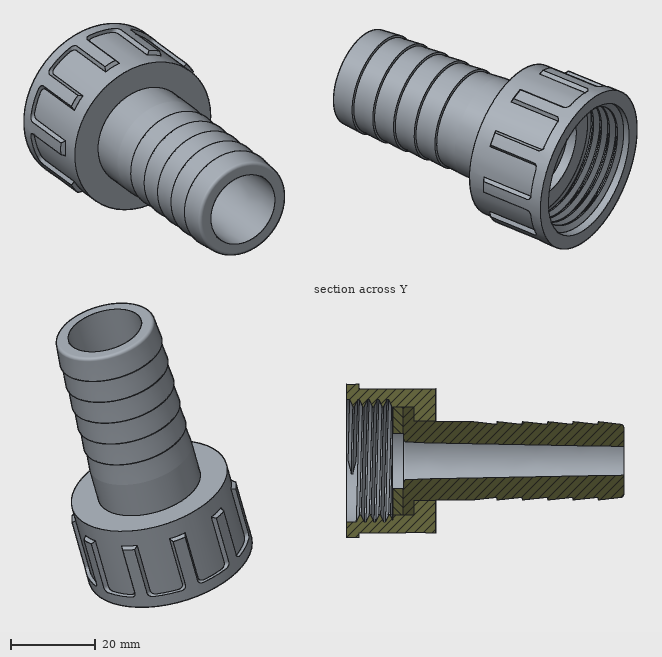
import cadquery as cq
import math


nut_length = 21.2
flange_radius = 20.0
flange_length = 2.9
core_radius = 19.0
minor_radius = 15.2
neck_radius = 12.5

rib_count = 10
rib_root_radius = 18.4
rib_root_width = 4.5
rib_root_end = 17.25
rib_crown_radius = 20.1
rib_crown_width = 2.95
rib_crown_end = 16.45
rib_foot_width = 7.9
rib_corner_fillet = 1.1

major_radius = 16.65
thread_pitch = 2.3
thread_turns = 4.2
ridge_start = 1.4
ridge_root_width = 1.9
ridge_crest_width = 0.4
ridge_embed = 0.2
fade_length = 3.15

washer_front = 11.0
washer_thickness = 2.5
washer_hole_radius = 10.5
tail_front = washer_front + washer_thickness
tail_flange_thickness = 2.5
shoulder_x = tail_front + tail_flange_thickness

tail_end = 65.8
step_count = 5
step_pitch = 6.0
neck_end = 29.95
first_step_x = 35.7
step_foot_radius = 12.05
step_length = 0.2
tip_round = 0.8
bore_front_radius = 9.4
bore_end_radius = 8.95
bore_entry_fillet = 0.6


def revolve_about_x(points):
    """Solid of revolution about the X axis from (x, radius) points."""
    return cq.Workplane("XZ").polyline(points).close().revolve(360, (0, 0, 0), (1, 0, 0))


def make_rib(angle):
    """One grip rib with drafted sides and far end, and a foot that lies inside the flange."""
    cross_section = [
        (-rib_root_width / 2, rib_root_radius),
        (-rib_crown_width / 2, rib_crown_radius),
        (rib_crown_width / 2, rib_crown_radius),
        (rib_root_width / 2, rib_root_radius),
    ]
    side_outline = [
        (0, rib_root_radius),
        (0, rib_crown_radius),
        (rib_crown_end, rib_crown_radius),
        (rib_root_end, rib_root_radius),
    ]
    bar = cq.Workplane("YZ").polyline(cross_section).close().extrude(rib_root_end)
    side_prism = cq.Workplane("XZ").polyline(side_outline).close().extrude(rib_root_width / 2, both=True)
    foot_height = rib_crown_radius - rib_root_radius
    foot = (
        cq.Workplane("XY", origin=(0, 0, rib_root_radius))
        .box(flange_length, rib_foot_width, foot_height, centered=(False, True, False))
    )
    concave_corners = cq.selectors.BoxSelector(
        (0, -rib_root_width / 2, rib_root_radius),
        (rib_crown_end / 2, rib_root_width / 2, rib_crown_radius),
    )
    rib = bar.intersect(side_prism).union(foot)
    rib = rib.edges(concave_corners).edges("#X").edges("not |Y").fillet(rib_corner_fillet)
    return rib.rotate((0, 0, 0), (1, 0, 0), angle)


def make_nut_outside():
    """Solid nut body: front flange, plain core and ribs blended into the flange."""
    envelope = cq.Workplane("YZ").circle(flange_radius).extrude(nut_length)
    flange = cq.Workplane("YZ").circle(flange_radius).extrude(flange_length)
    body = cq.Workplane("YZ").circle(core_radius).extrude(nut_length).union(flange)
    for index in range(rib_count):
        rib = make_rib(90 + index * 360 / rib_count)
        body = body.union(rib.intersect(envelope))
    return body


def make_nut_bore():
    """Stepped hole of the nut: threaded bore, washer pocket and neck hole."""
    return revolve_about_x([
        (0, 0),
        (0, major_radius),
        (washer_front, major_radius),
        (washer_front, minor_radius),
        (shoulder_x, minor_radius),
        (shoulder_x, neck_radius),
        (nut_length, neck_radius),
        (nut_length, 0),
    ])


def make_thread_ridge():
    """Right-hand ridge, swept along Z, turned onto the X axis and ended at the washer."""
    flank_slope = (ridge_root_width - ridge_crest_width) / 2 / (major_radius - minor_radius)
    half_root = ridge_root_width / 2 + flank_slope * ridge_embed
    half_crest = ridge_crest_width / 2
    embedded_radius = major_radius + ridge_embed
    ridge_section = [
        (minor_radius, -half_crest),
        (embedded_radius, -half_root),
        (embedded_radius, half_root),
        (minor_radius, half_crest),
    ]
    helix = cq.Wire.makeHelix(thread_pitch, thread_pitch * thread_turns, minor_radius)
    ridge = cq.Workplane("XZ").polyline(ridge_section).close().sweep(cq.Workplane(helix), isFrenet=True)
    wall_at_fade_end = math.sqrt(major_radius ** 2 - fade_length ** 2)
    fade_end_section = [
        (wall_at_fade_end, -half_crest),
        (embedded_radius, -half_crest),
        (embedded_radius, half_crest),
        (wall_at_fade_end, half_crest),
    ]
    fade = (
        cq.Workplane("XZ")
        .polyline(ridge_section)
        .close()
        .workplane(offset=fade_length)
        .polyline(fade_end_section)
        .close()
        .loft(ruled=True)
    )
    onto_x_axis = cq.Plane(origin=(ridge_start, 0, 0), xDir=(0, 1, 0), normal=(1, 0, 0))
    threaded_zone = cq.Workplane("YZ").circle(core_radius).extrude(washer_front)
    placed = cq.Workplane(ridge.union(fade).val().moved(onto_x_axis.location))
    return placed.intersect(threaded_zone)


def make_nut():
    return make_nut_outside().cut(make_nut_bore()).union(make_thread_ridge())


def make_washer():
    return (
        cq.Workplane("YZ", origin=(washer_front, 0, 0))
        .circle(minor_radius)
        .circle(washer_hole_radius)
        .extrude(washer_thickness)
    )


def make_tail_outside():
    """Flange, plain neck, and barbs that each taper to a step; the tip is rounded."""
    points = [
        (tail_front, 0),
        (tail_front, minor_radius),
        (shoulder_x, minor_radius),
        (shoulder_x, neck_radius),
        (neck_end, neck_radius),
    ]
    for index in range(step_count):
        step_x = first_step_x + index * step_pitch
        points.append((step_x - step_length, step_foot_radius))
        points.append((step_x, neck_radius))
    points.append((tail_end - tip_round, step_foot_radius))
    arc_drop = tip_round * (1 - math.sqrt(0.5))
    arc_middle = (tail_end - arc_drop, step_foot_radius - arc_drop)
    return (
        cq.Workplane("XZ")
        .polyline(points)
        .threePointArc(arc_middle, (tail_end, step_foot_radius - tip_round))
        .lineTo(tail_end, 0)
        .close()
        .revolve(360, (0, 0, 0), (1, 0, 0))
    )


def make_tail_bore():
    """Slightly tapered bore with a rounded entry."""
    entry_radius = bore_front_radius + bore_entry_fillet
    entry_end = tail_front + bore_entry_fillet
    arc_reach = bore_entry_fillet * math.sqrt(0.5)
    arc_middle = (entry_end - arc_reach, entry_radius - arc_reach)
    return (
        cq.Workplane("XZ")
        .moveTo(tail_front, 0)
        .lineTo(tail_front, entry_radius)
        .threePointArc(arc_middle, (entry_end, bore_front_radius))
        .lineTo(tail_end, bore_end_radius)
        .lineTo(tail_end, 0)
        .close()
        .revolve(360, (0, 0, 0), (1, 0, 0))
    )


def make_hose_tail():
    return make_tail_outside().cut(make_tail_bore())


nut = make_nut()
washer = make_washer()
hose_tail = make_hose_tail()

result = cq.Compound.makeCompound([*nut.solids().vals(), washer.val(), *hose_tail.solids().vals()])